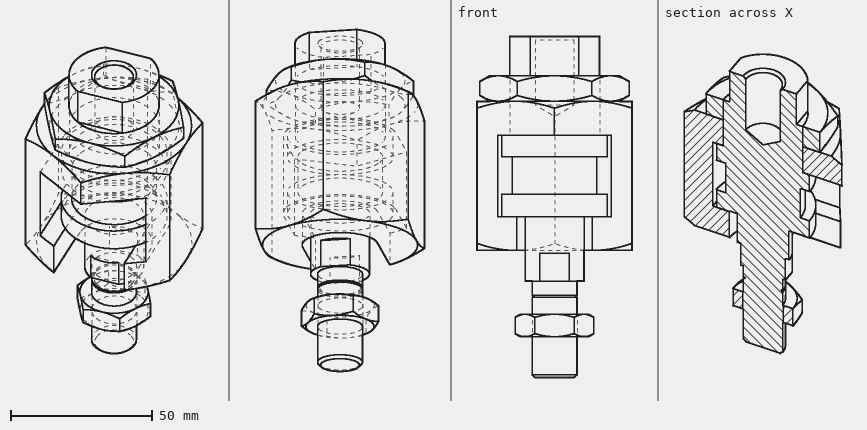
import cadquery as cq
import math

TOP_Z = 121.0
LOCK_NUT_TOP_Z = 107.1
HOUSING_TOP_Z = 98.0
WINDOW_TOP_Z = 85.9
WINDOW_BOTTOM_Z = 57.1
HOUSING_BOTTOM_Z = 45.1
FLAT_TOP_Z = 44.0
SHANK_BOTTOM_Z = 34.2
NOTCH_TOP_Z = 29.2
ROD_NUT_TOP_Z = 22.5
ROD_NUT_BOTTOM_Z = 14.5

HOUSING_FLATS = 55.0
LOCK_NUT_FLATS = 46.0
ROD_NUT_FLATS = 24.2
CORNER_BEVEL_DEGREES = 30.0

WINDOW_WIDTH = 40.4
SLOT_WIDTH = 26.9

BOSS_DIAMETER = 32.0
BOSS_FLATS = 27.0
FLANGE_DIAMETER = 37.5
UPPER_FLANGE_HEIGHT = 7.6
LOWER_FLANGE_HEIGHT = 8.0
NECK_DIAMETER = 30.1
SHANK_DIAMETER = 20.9
SHANK_FLATS = 18.0
ROD_DIAMETER = 16.0
TIP_CHAMFER = 1.1
NOTCH_CHAMFER = 0.7

BORE_DIAMETER = 13.8
BORE_MOUTH_DIAMETER = ROD_DIAMETER
BORE_DEPTH = 24.2
DRILL_POINT_DEGREES = 118.0


def cylinder(diameter, bottom, top):
    """Cylinder on the Z axis between two heights."""
    return cq.Workplane("XY").workplane(offset=bottom).circle(diameter / 2).extrude(top - bottom)


def revolved(profile):
    """Solid of revolution about Z from (radius, height) points."""
    return cq.Workplane("XZ").polyline(profile).close().revolve(360, (0, 0), (0, 1))


def bevelled_hexagon(across_flats, bottom, top):
    """Hexagonal prism with corners on +-X and both ends bevelled down to the inscribed circle."""
    inner = across_flats / 2
    outer = inner / math.cos(math.radians(30))
    drop = (outer - inner) * math.tan(math.radians(CORNER_BEVEL_DEGREES))
    prism = cq.Workplane("XY").workplane(offset=bottom).polygon(6, 2 * outer).extrude(top - bottom)
    envelope = revolved([
        (0, bottom),
        (inner, bottom),
        (outer, bottom + drop),
        (outer, top - drop),
        (inner, top),
        (0, top),
    ])
    return prism.intersect(envelope)


def front_slot(width, bottom, top):
    """U-shaped cutter: half-round about the Z axis and open toward -Y."""
    radius = width / 2
    return (
        cq.Workplane("XY").workplane(offset=bottom)
        .moveTo(-radius, -HOUSING_FLATS)
        .lineTo(-radius, 0)
        .threePointArc((0, radius), (radius, 0))
        .lineTo(radius, -HOUSING_FLATS)
        .close()
        .extrude(top - bottom)
    )


def trim_to_flats(body, across_flats, bottom, top):
    """Cut two flats facing -Y and +Y over a range of heights."""
    height = top - bottom
    block = cq.Workplane("XY").workplane(offset=bottom).rect(FLANGE_DIAMETER, FLANGE_DIAMETER).extrude(height)
    kept = cq.Workplane("XY").workplane(offset=bottom).rect(FLANGE_DIAMETER, across_flats).extrude(height)
    return body.cut(block.cut(kept))


def make_housing():
    """Hexagonal housing with corners on +-Y and a T-shaped opening in front."""
    hexagon = bevelled_hexagon(HOUSING_FLATS, HOUSING_BOTTOM_Z, HOUSING_TOP_Z)
    hexagon = hexagon.rotate((0, 0, 0), (0, 0, 1), 90)
    window = front_slot(WINDOW_WIDTH, WINDOW_BOTTOM_Z, WINDOW_TOP_Z)
    slot = front_slot(SLOT_WIDTH, HOUSING_BOTTOM_Z, WINDOW_BOTTOM_Z)
    boss_hole = cylinder(BOSS_DIAMETER, WINDOW_TOP_Z, HOUSING_TOP_Z)
    return hexagon.cut(window).cut(slot).cut(boss_hole)


def make_nut(across_flats, hole_diameter, bottom, top):
    """Hexagonal nut with a plain through hole."""
    return bevelled_hexagon(across_flats, bottom, top).cut(cylinder(hole_diameter, bottom, top))


def make_bore():
    """Blind bore with a chamfered mouth and a conical drill point."""
    radius = BORE_DIAMETER / 2
    mouth = BORE_MOUTH_DIAMETER / 2
    floor = TOP_Z - BORE_DEPTH
    point_depth = radius / math.tan(math.radians(DRILL_POINT_DEGREES / 2))
    return revolved([
        (0, floor - point_depth),
        (radius, floor),
        (radius, TOP_Z - (mouth - radius)),
        (mouth, TOP_Z),
        (0, TOP_Z),
    ])


def make_shaft():
    """Boss, twin-flanged spool, shank and threaded rod turned as one piece."""
    upper_flange_bottom = WINDOW_TOP_Z - UPPER_FLANGE_HEIGHT
    lower_flange_top = WINDOW_BOTTOM_Z + LOWER_FLANGE_HEIGHT
    boss = BOSS_DIAMETER / 2
    flange = FLANGE_DIAMETER / 2
    neck = NECK_DIAMETER / 2
    shank = SHANK_DIAMETER / 2
    rod = ROD_DIAMETER / 2
    shaft = revolved([
        (0, 0),
        (rod - TIP_CHAMFER, 0),
        (rod, TIP_CHAMFER),
        (rod, NOTCH_TOP_Z - NOTCH_CHAMFER),
        (rod - NOTCH_CHAMFER, NOTCH_TOP_Z),
        (rod, NOTCH_TOP_Z),
        (rod, SHANK_BOTTOM_Z),
        (shank, SHANK_BOTTOM_Z),
        (shank, WINDOW_BOTTOM_Z),
        (flange, WINDOW_BOTTOM_Z),
        (flange, lower_flange_top),
        (neck, lower_flange_top),
        (neck, upper_flange_bottom),
        (flange, upper_flange_bottom),
        (flange, WINDOW_TOP_Z),
        (boss, WINDOW_TOP_Z),
        (boss, TOP_Z),
        (0, TOP_Z),
    ])
    shaft = trim_to_flats(shaft, BOSS_FLATS, LOCK_NUT_TOP_Z, TOP_Z)
    shaft = trim_to_flats(shaft, SHANK_FLATS, SHANK_BOTTOM_Z, FLAT_TOP_Z)
    return shaft.cut(make_bore())


housing = make_housing()
lock_nut = make_nut(LOCK_NUT_FLATS, BOSS_DIAMETER, HOUSING_TOP_Z, LOCK_NUT_TOP_Z)
rod_nut = make_nut(ROD_NUT_FLATS, ROD_DIAMETER, ROD_NUT_BOTTOM_Z, ROD_NUT_TOP_Z)
shaft = make_shaft()

result = cq.Compound.makeCompound([housing.val(), lock_nut.val(), rod_nut.val(), shaft.val()])